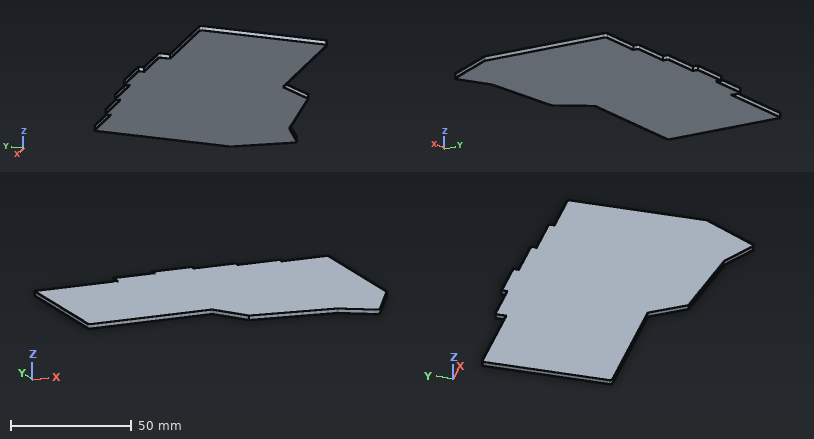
import cadquery as cq
import math

width = 133.8
depth = 91.4
thickness = 2.0

pitch = 19.0
step_rise = 2.4
tab_left = 3 * pitch
tab_right = 74.9
main_back = 56.2
back_high = main_back + 3 * step_rise

tip_angle = math.radians(30)
tip_radius = 1.5
lobe_start_x = 56.0
lobe_knee = (66.3, -14.7)
lobe_bend_x = 104.3
right_edge_front = -4.0

corner_radius = 1.0

tip_overhang = tip_radius * (math.sin(tip_angle) + math.cos(tip_angle) - 1)
tip_y = back_high - depth - tip_overhang
tip_x = width - (right_edge_front - tip_y) * math.tan(tip_angle)
lobe_bend_y = tip_y + (tip_x - lobe_bend_x) * math.tan(tip_angle)

back_left_outer = (0, main_back)
back_left_step = (2 * pitch, main_back + 2 * step_rise)
back_right_step = (tab_right + pitch, main_back + 2 * step_rise)
back_right_low_step = (tab_right + 2 * pitch, main_back + step_rise)
back_right_outer = (width, main_back)
lobe_start = (lobe_start_x, 0)
lobe_bend = (lobe_bend_x, lobe_bend_y)
lobe_tip = (tip_x, tip_y)
right_bend = (width, right_edge_front)

outline = [
    (0, 0),
    back_left_outer,
    (back_left_step[0], main_back),
    back_left_step,
    (tab_left, back_left_step[1]),
    (tab_left, back_high),
    (tab_right, back_high),
    (tab_right, back_right_step[1]),
    back_right_step,
    (back_right_step[0], back_right_low_step[1]),
    back_right_low_step,
    (back_right_low_step[0], main_back),
    back_right_outer,
    right_bend,
    lobe_tip,
    lobe_bend,
    lobe_knee,
    lobe_start,
]


def round_corners(body, corners, radius):
    """Round the upright edges standing at the given outline corners."""
    for x, y in corners:
        edge = cq.selectors.NearestToPointSelector((x, y, thickness / 2))
        body = body.edges("|Z").edges(edge).fillet(radius)
    return body


plate = cq.Workplane("XY").polyline(outline).close().extrude(thickness)

square_corners = [
    (0, 0),
    back_left_outer,
    back_left_step,
    back_right_step,
    back_right_low_step,
    back_right_outer,
]
plate = round_corners(plate, square_corners, corner_radius)
plate = round_corners(plate, [lobe_start, lobe_bend, right_bend], corner_radius)
result = round_corners(plate, [lobe_tip], tip_radius)